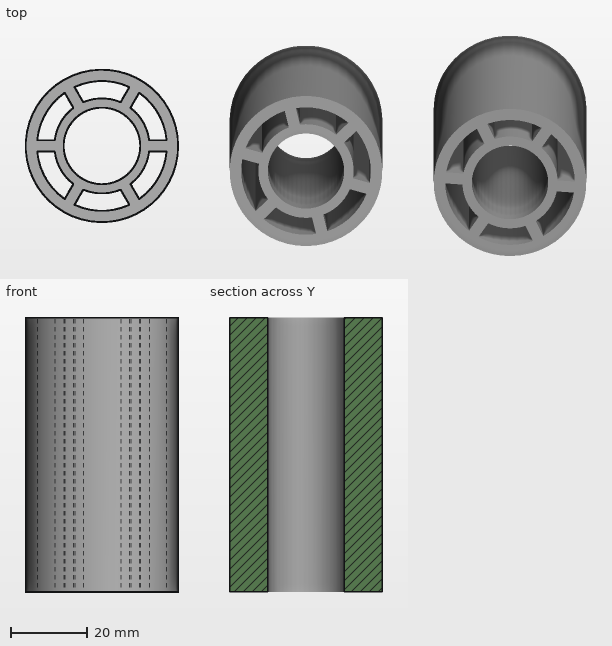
import cadquery as cq

length = 72.0
outer_diameter = 40.0

outer_wall_inner_diameter = 34.0
hub_diameter = 25.0
bore_diameter = 20.0
rib_thickness = 3.0
rib_count = 6


def tube(outside_diameter, inside_diameter):
    """Full-length tube standing on the XY plane."""
    return (
        cq.Workplane("XY")
        .circle(outside_diameter / 2)
        .circle(inside_diameter / 2)
        .extrude(length)
    )


def rib_pair(angle):
    """Full-length plate across the axis, forming two opposite ribs."""
    plate = cq.Workplane("XY").rect(outer_diameter, rib_thickness).extrude(length)
    return plate.rotate((0, 0, 0), (0, 0, 1), angle)


slots = tube(outer_wall_inner_diameter, hub_diameter)
for pair in range(rib_count // 2):
    slots = slots.cut(rib_pair(pair * 360 / rib_count))

result = tube(outer_diameter, bore_diameter).cut(slots)